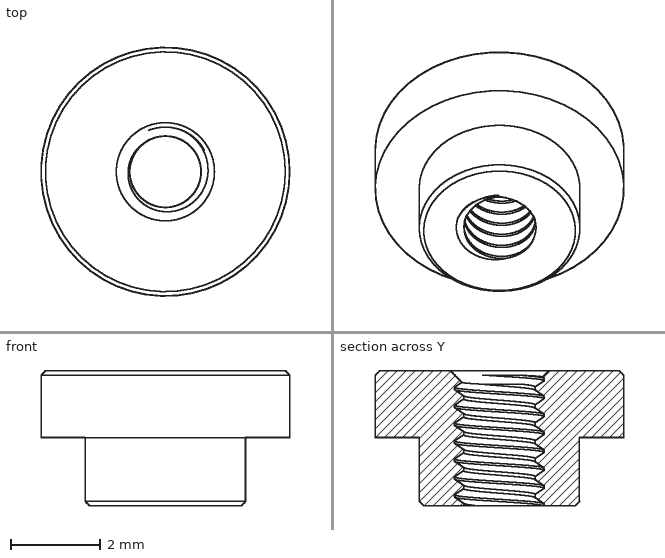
import cadquery as cq
import math

flange_diameter = 5.57
flange_thickness = 1.5
shank_diameter = 3.6
total_height = 3.03
edge_chamfer = 0.1

thread_pitch = 0.4
minor_diameter = 1.595
major_diameter = 2.0
root_flat = 0.05
flank_angle = 34.0
countersink_diameter = 2.2
thread_end_angle = 112.0
overlap = 0.03
spare_turns = 1
core_overrun = 2.23

minor_radius = minor_diameter / 2
major_radius = major_diameter / 2
countersink_radius = countersink_diameter / 2
shank_length = total_height - flange_thickness


def make_body():
    """Round shank below a wider flange, with both end rims chamfered."""
    shank = cq.Workplane("XY").circle(shank_diameter / 2).extrude(shank_length)
    shank = shank.faces("<Z").chamfer(edge_chamfer)
    flange = (
        cq.Workplane("XY")
        .workplane(offset=shank_length)
        .circle(flange_diameter / 2)
        .extrude(flange_thickness)
        .faces(">Z")
        .chamfer(edge_chamfer)
    )
    return shank.union(flange)


def make_countersink():
    """Cone that opens the bore at the flange face and ends on the bore wall."""
    countersink_depth = countersink_radius - minor_radius
    return (
        cq.Workplane("XY")
        .workplane(offset=total_height)
        .circle(countersink_radius)
        .workplane(offset=-countersink_depth)
        .circle(minor_radius)
        .loft()
    )


def make_thread_groove():
    """Right-hand helical groove with a trapezoidal section, running past both ends of the bore."""
    inner_radius = minor_radius - overlap
    flank_rise = (major_radius - inner_radius) * math.tan(math.radians(flank_angle))
    inner_half_width = root_flat / 2 + flank_rise

    end_height = total_height - (countersink_radius - major_radius) + root_flat / 2
    turns = math.ceil(total_height / thread_pitch) + 2 * spare_turns
    start_height = end_height - (turns - spare_turns) * thread_pitch

    path = cq.Wire.makeHelix(thread_pitch, turns * thread_pitch, minor_radius)
    groove = (
        cq.Workplane("XZ")
        .moveTo(inner_radius, -inner_half_width)
        .lineTo(major_radius, -root_flat / 2)
        .lineTo(major_radius, root_flat / 2)
        .lineTo(inner_radius, inner_half_width)
        .close()
        .sweep(cq.Workplane(path), isFrenet=True)
    )
    return groove.rotate((0, 0, 0), (0, 0, 1), thread_end_angle).translate((0, 0, start_height))


def make_tap():
    """Plain core with the thread groove around it, longer than the part at both ends."""
    core = cq.Workplane("XY").circle(minor_radius).extrude(total_height + 2 * core_overrun)
    return core.translate((0, 0, -core_overrun)).union(make_thread_groove())


result = make_body().cut(make_tap()).cut(make_countersink())